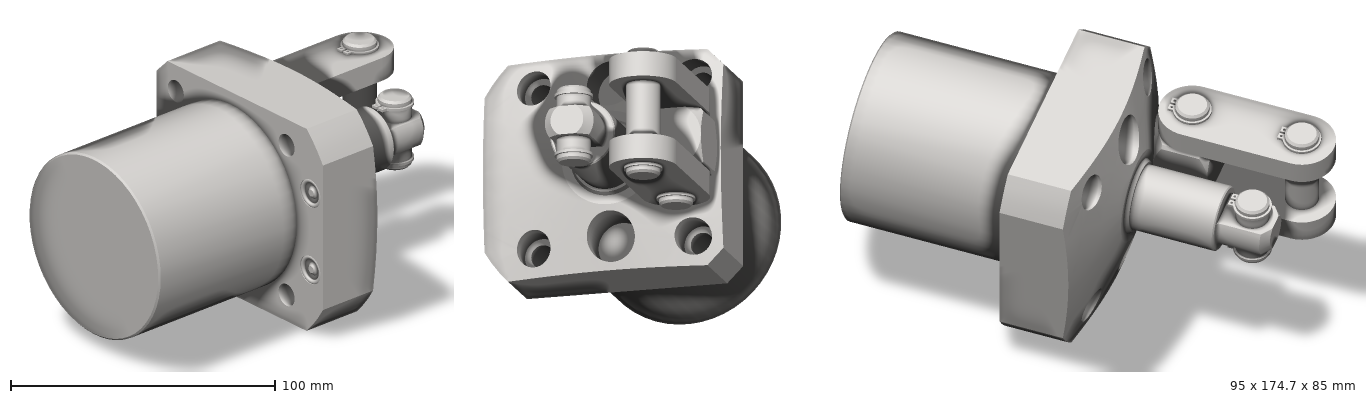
import cadquery as cq
import math


body_radius = 37.2
body_length = 69.7
body_chamfer = 0.7

flange_half = 42.5
flange_reach = 52.0
flange_corner_chamfer = 6.3
flange_corner_radius = 60.2
flange_top = 36.7
cone_angle = 15
cone_edge_height = 30.2

mount_offset = 31.5
mount_hole_diameter = 9.0
mount_counterbore_diameter = 14.0
mount_counterbore_floor = 17.5

port_x = 44.9
port_z = 16.0
port_recess_radius = 5.8
port_recess_depth = 1.5
seal_radius = 5.0
seal_section_radius = 0.9
plug_base_radius = 2.6
plug_tip_radius = 1.4
plug_tip_depth = 0.3

post_offset = 30.0
post_radius = 9.5
socket_floor = 17.5

block_radius = 16.2
block_half_width = 13.0
block_half_thickness = 11.2
block_bottom = 36.8
block_top = 58.7

wiper_base_radius = 14.8
wiper_top_radius = 13.8
wiper_height = 1.5
rod_radius = 12.7
rod_top = 71.6
rod_chamfer = 0.5
head_radius = 9.6
head_half_thickness = 5.6
head_top = 92.2
head_chamfer = 3.1
head_fillet = 0.9

link_radius = block_half_width
link_near_y = 48.0
link_pitch = 44.0
link_far_y = link_near_y + link_pitch
link_inner_z = 11.4
link_thickness = 9.6
link_outer_z = link_inner_z + link_thickness

pin_radius = 6.5
pin_chamfer = 0.9
pin_overhang = 3.5
ring_radius = 7.3
ring_thickness = 1.0
lug_reach = 8.9
lug_half_width = 3.0
lug_gap = 0.9
lug_hole_diameter = 1.0
head_pin_y = 83.0
head_pin_ring_z = 11.0


def rod_along_y(radius, start, end, x=0.0, z=0.0):
    """Cylinder parallel to Y between two Y positions."""
    return cq.Workplane(cq.Plane((x, start, z), (1, 0, 0), (0, 1, 0))).circle(radius).extrude(end - start)


def turned(profile, x=0.0, z=0.0):
    """Solid of revolution about a line parallel to Y; profile is (radius, y)."""
    solid = cq.Workplane("XY").polyline(profile).close().revolve(360, (0, 0, 0), (0, 1, 0))
    return solid.translate((x, 0, z))


def cone_height(radius):
    """Y of the conical flange face at a distance from the piston axis."""
    return cone_edge_height + (flange_half - radius) * math.tan(math.radians(cone_angle))


def make_body():
    return rod_along_y(body_radius, -body_length, 0).faces("<Y").chamfer(body_chamfer)


def make_flange():
    corner_x = math.sqrt(flange_corner_radius ** 2 - flange_half ** 2)
    corner_z = math.sqrt(flange_corner_radius ** 2 - flange_reach ** 2)
    arc_middle = (math.atan2(flange_half, corner_x) + math.atan2(corner_z, flange_reach)) / 2
    arc_x = flange_corner_radius * math.cos(arc_middle)
    arc_z = flange_corner_radius * math.sin(arc_middle)
    chamfer_start = flange_half - flange_corner_chamfer
    plate = (
        cq.Workplane("XZ")
        .moveTo(-chamfer_start, flange_half)
        .lineTo(corner_x, flange_half)
        .threePointArc((arc_x, arc_z), (flange_reach, corner_z))
        .lineTo(flange_reach, -corner_z)
        .threePointArc((arc_x, -arc_z), (corner_x, -flange_half))
        .lineTo(-chamfer_start, -flange_half)
        .lineTo(-flange_half, -chamfer_start)
        .lineTo(-flange_half, chamfer_start)
        .close()
        .extrude(-flange_top)
    )
    rim = flange_corner_radius + 1.7
    cone = turned([(0, 0), (rim, 0), (rim, cone_height(rim)), (0, cone_height(0))])
    return plate.intersect(cone)


def cut_mount_holes(part):
    for x in (-mount_offset, mount_offset):
        for z in (-mount_offset, mount_offset):
            part = part.cut(rod_along_y(mount_hole_diameter / 2, 0, flange_top, x, z))
            part = part.cut(
                rod_along_y(mount_counterbore_diameter / 2, mount_counterbore_floor, flange_top, x, z)
            )
    return part


def fit_ports(part):
    plug_profile = [
        (0, port_recess_depth),
        (plug_base_radius, port_recess_depth),
        (plug_tip_radius, plug_tip_depth),
        (0, plug_tip_depth),
    ]
    seal = (
        cq.Workplane("XY")
        .center(seal_radius, seal_section_radius)
        .circle(seal_section_radius)
        .revolve(360, (-seal_radius, 0, 0), (-seal_radius, 1, 0))
    )
    for z in (-port_z, port_z):
        part = part.cut(rod_along_y(port_recess_radius, 0, port_recess_depth, port_x, z))
        part = part.union(turned(plug_profile, port_x, z))
        part = part.union(seal.translate((port_x, 0, z)))
    return part


def cut_spare_sockets(part):
    for z in (-post_offset, post_offset):
        part = part.cut(rod_along_y(post_radius, socket_floor, flange_top, 0, z))
    return part


def make_piston_rod():
    wiper_top = flange_top + wiper_height
    wiper = turned(
        [(0, flange_top), (wiper_base_radius, flange_top), (wiper_top_radius, wiper_top), (0, wiper_top)]
    )
    rod = rod_along_y(rod_radius, flange_top, rod_top).faces(">Y").chamfer(rod_chamfer)
    head = rod_along_y(head_radius, rod_top, head_top).faces(">Y").chamfer(head_chamfer)
    flats = cq.Workplane("XY").box(2 * rod_radius, 2 * head_top, 2 * head_half_thickness)
    root_radius = head_radius + head_fillet
    root = (
        cq.Workplane("XY")
        .moveTo(0, rod_top)
        .lineTo(root_radius, rod_top)
        .radiusArc((head_radius, rod_top + head_fillet), head_fillet)
        .lineTo(0, rod_top + head_fillet)
        .close()
        .revolve(360, (0, 0, 0), (0, 1, 0))
    )
    return wiper.union(rod).union(head.union(root).intersect(flats))


def make_fulcrum():
    post = rod_along_y(post_radius, socket_floor, block_bottom, -post_offset)
    bar = rod_along_y(block_radius, block_bottom, block_top, -post_offset)
    bar = bar.faces("<Y or >Y").chamfer(block_radius - block_half_width)
    flats = cq.Workplane("XY").box(2 * block_half_width, 2 * block_top, 2 * block_half_thickness)
    return post.union(bar.intersect(flats.translate((-post_offset, 0, 0))))


def make_links():
    plate = (
        cq.Workplane("XY")
        .workplane(offset=link_inner_z)
        .center(-post_offset, (link_near_y + link_far_y) / 2)
        .slot2D(link_pitch + 2 * link_radius, 2 * link_radius, 90)
        .extrude(link_thickness)
    )
    return plate.union(plate.mirror("XY"))


def make_pin(x, y, ring_z):
    """Pin along Z with a retaining ring starting at ring_z on each end."""
    half_length = ring_z + pin_overhang
    pin = cq.Workplane("XY").circle(pin_radius).extrude(half_length, both=True)
    pin = pin.faces("<Z or >Z").chamfer(pin_chamfer)
    ring = cq.Workplane("XY").circle(ring_radius).extrude(ring_thickness)
    lugs = cq.Workplane("XY").center(0, -lug_reach / 2).rect(2 * lug_half_width, lug_reach)
    ring = ring.union(lugs.extrude(ring_thickness))
    gap = cq.Workplane("XY").center(0, -lug_reach / 2).rect(lug_gap, lug_reach)
    ring = ring.cut(gap.extrude(ring_thickness))
    hole_x = (lug_half_width + lug_gap / 2) / 2
    hole_y = -(lug_reach + pin_radius) / 2
    holes = cq.Workplane("XY").pushPoints([(-hole_x, hole_y), (hole_x, hole_y)])
    ring = ring.cut(holes.circle(lug_hole_diameter / 2).extrude(ring_thickness))
    ring = ring.translate((0, 0, ring_z))
    return pin.union(ring).union(ring.mirror("XY")).translate((x, y, 0))


flange = cut_spare_sockets(fit_ports(cut_mount_holes(make_flange())))
result = (
    make_body()
    .union(flange)
    .union(make_piston_rod())
    .union(make_fulcrum())
    .union(make_links())
    .union(make_pin(-post_offset, link_near_y, link_outer_z))
    .union(make_pin(-post_offset, link_far_y, link_outer_z))
    .union(make_pin(0, head_pin_y, head_pin_ring_z))
)